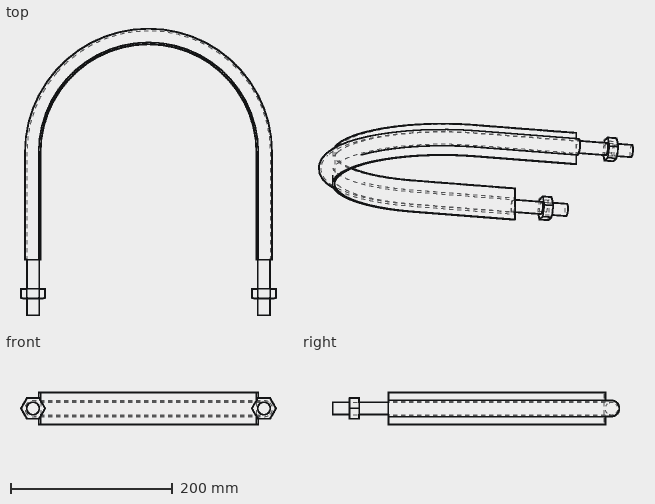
import cadquery as cq
import math

rod_diameter = 15.5
bend_radius = 143.0
leg_length = 202.0

liner_width = 40.0
strip_inner_radius = 133.5
strip_outer_radius = 136.0
sleeve_wall = 2.35
sleeve_fillet = 2.0
liner_leg_length = 133.0

nut_across_flats = 26.0
nut_thickness = 12.0
nut_inner_face = 169.3
nut_face_diameter = 24.0
nut_chamfer_angle = 15.0

sleeve_radius = rod_diameter / 2 + sleeve_wall
nut_across_corners = nut_across_flats / math.cos(math.pi / 6)


def sweep_u(draw_profile, length):
    """Turn an XZ profile half a turn about Z and extend both ends along -Y."""
    bend = draw_profile().revolve(180, (0, 0, 0), (0, 1, 0))
    right_leg = draw_profile().extrude(length)
    left_leg = right_leg.mirror("YZ")
    return bend.union(right_leg).union(left_leg)


def rod_profile():
    return cq.Workplane("XZ").moveTo(bend_radius, 0).circle(rod_diameter / 2)


def make_rod():
    return sweep_u(rod_profile, leg_length)


def liner_profile():
    """Closed section of strip plus sleeve, blended by concave fillets."""
    half_width = liner_width / 2
    fillet_x = strip_outer_radius + sleeve_fillet
    centre_distance = sleeve_radius + sleeve_fillet
    fillet_z = math.sqrt(centre_distance**2 - (bend_radius - fillet_x) ** 2)
    on_sleeve = sleeve_radius / centre_distance
    tangent_x = bend_radius + (fillet_x - bend_radius) * on_sleeve
    tangent_z = fillet_z * on_sleeve
    to_sleeve = math.atan2(-fillet_z, bend_radius - fillet_x)
    mid_angle = (to_sleeve - math.pi) / 2
    mid_x = fillet_x + sleeve_fillet * math.cos(mid_angle)
    mid_z = fillet_z + sleeve_fillet * math.sin(mid_angle)
    return (
        cq.Workplane("XZ")
        .moveTo(strip_inner_radius, -half_width)
        .lineTo(strip_outer_radius, -half_width)
        .lineTo(strip_outer_radius, -fillet_z)
        .threePointArc((mid_x, -mid_z), (tangent_x, -tangent_z))
        .threePointArc((bend_radius + sleeve_radius, 0), (tangent_x, tangent_z))
        .threePointArc((mid_x, mid_z), (strip_outer_radius, fillet_z))
        .lineTo(strip_outer_radius, half_width)
        .lineTo(strip_inner_radius, half_width)
        .close()
    )


def make_liner(rod):
    return sweep_u(liner_profile, liner_leg_length).cut(rod)


def nut_envelope():
    """Turned blank about Y whose outer end tapers down to the round face."""
    corner_radius = nut_across_corners / 2
    face_radius = nut_face_diameter / 2
    chamfer_height = (corner_radius - face_radius) * math.tan(math.radians(nut_chamfer_angle))
    return (
        cq.Workplane("XY")
        .lineTo(corner_radius, 0)
        .lineTo(corner_radius, chamfer_height - nut_thickness)
        .lineTo(face_radius, -nut_thickness)
        .lineTo(0, -nut_thickness)
        .close()
        .revolve(360, (0, 0, 0), (0, 1, 0))
    )


def make_nut(x):
    """Nut on the leg at x, corners chamfered at its outer end only."""
    nut = (
        cq.Workplane("XZ")
        .polygon(6, nut_across_corners)
        .circle(rod_diameter / 2)
        .extrude(nut_thickness)
        .intersect(nut_envelope())
    )
    return nut.translate((x, -nut_inner_face, 0))


rod = make_rod()
liner = make_liner(rod)
nuts = [make_nut(side * bend_radius) for side in (-1, 1)]

result = cq.Compound.makeCompound([rod.val(), liner.val(), *[nut.val() for nut in nuts]])